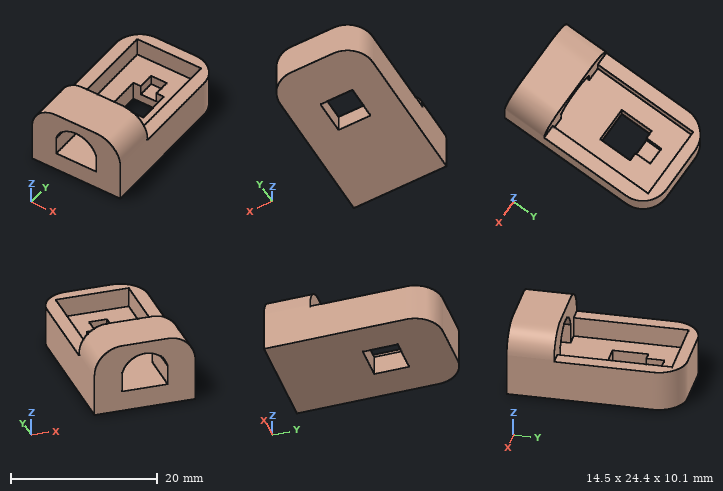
import cadquery as cq

width = 14.5
length = 24.35
base_height = 5.85
total_height = 10.08
corner_radius = 4.0

block_length = 6.62

pocket_width = 10.5
rear_wall = 1.7
floor_height = 3.0

window_size = 5.0
window_rear = length - 6.72
notch_width = 2.55
notch_length = 2.5
notch_depth = 1.5

passage_width = 6.52
passage_side_top = 5.85
passage_top = 8.32


def box_between(x_size, y_start, y_end, z_start, z_end):
    """Box centred on X, spanning the given Y and Z ranges."""
    return cq.Workplane("XY").box(
        x_size, y_end - y_start, z_end - z_start, centered=(True, False, False)
    ).translate((0, y_start, z_start))


def make_base():
    base = box_between(width, 0, length, 0, base_height)
    return base.edges("|Z and >Y").fillet(corner_radius)


def make_block():
    block = box_between(width, 0, block_length, 0, total_height)
    return block.edges("|Y and >Z").fillet(corner_radius)


def make_passage():
    half_width = passage_width / 2
    return (
        cq.Workplane("XZ")
        .moveTo(-half_width, floor_height)
        .lineTo(half_width, floor_height)
        .lineTo(half_width, passage_side_top)
        .threePointArc((0, passage_top), (-half_width, passage_side_top))
        .close()
        .extrude(-block_length)
    )


pocket = box_between(pocket_width, block_length, length - rear_wall, floor_height, base_height)
window = box_between(window_size, window_rear - window_size, window_rear, 0, floor_height)
notch = box_between(
    notch_width, window_rear, window_rear + notch_length, floor_height - notch_depth, floor_height
)

result = make_base().union(make_block())
for cutter in (pocket, window, notch, make_passage()):
    result = result.cut(cutter)